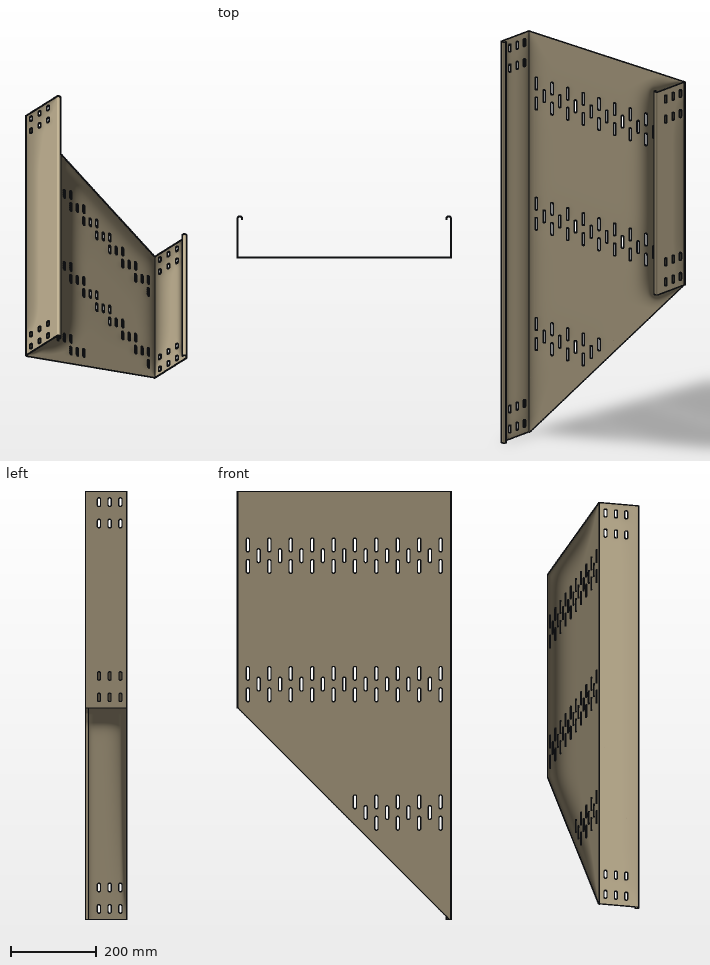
import cadquery as cq

width = 500.0
depth = 98.0
height = 1000.0
sheet = 2.0
flange_end = 494.0
slope_rise = flange_end + sheet
bend_radius = 5.0
lip_width = 12.0
lip_return = 8.0

slot_width = 7.0
web_slot_length = 32.0
slot_pitch = 25.0
web_columns = round(width / slot_pitch) - 1
group_spacing = 300.0
group_count = 3
top_group_drop = group_spacing / 2
group_heights = [height - top_group_drop - group_spacing * i for i in range(group_count)]
slope_margin = 40.0

flange_slot_length = 20.0
first_flange_slot_y = 16.0
flange_slots_per_row = 3
end_offsets = (25.0, 75.0)


def folded_sheet():
    """Full-height channel with inward lips, extruded along Z from its cross-section."""
    outline = [
        (lip_width, depth - lip_return),
        (lip_width, depth),
        (0, depth),
        (0, 0),
        (width, 0),
        (width, depth),
        (width - lip_width, depth),
        (width - lip_width, depth - lip_return),
        (width - lip_width + sheet, depth - lip_return),
        (width - lip_width + sheet, depth - sheet),
        (width - sheet, depth - sheet),
        (width - sheet, sheet),
        (sheet, sheet),
        (sheet, depth - sheet),
        (lip_width - sheet, depth - sheet),
        (lip_width - sheet, depth - lip_return),
    ]
    channel = cq.Workplane("XY").polyline(outline).close().extrude(height)
    outer_folds = [(x, depth) for x in (0, lip_width, width - lip_width, width)]
    inner_xs = (sheet, lip_width - sheet, width - lip_width + sheet, width - sheet)
    inner_folds = [(x, depth - sheet) for x in inner_xs]
    channel = round_folds(channel, outer_folds, bend_radius)
    return round_folds(channel, inner_folds, bend_radius - sheet)


def round_folds(body, folds, radius):
    """Fillet the vertical edges standing at the given XY points."""
    edges = cq.Workplane("XY")
    for x, y in folds:
        edges = edges.add(body.edges(cq.NearestToPointSelector((x, y, height / 2))).vals())
    return body.newObject(edges.vals()).fillet(radius)


def sloped_cutter():
    """Triangle below the slope that runs at 45 degrees across the web."""
    triangle = [(sheet, 0), (slope_rise, 0), (sheet, flange_end)]
    return cq.Workplane("XZ").polyline(triangle).close().extrude(-sheet)


def flange_cutter():
    """Blocks that end the left flange and its lip level with the top of the slope."""
    flange = cq.Workplane("XY").box(sheet, depth, flange_end, centered=False)
    lip = cq.Workplane("XY").box(lip_width, depth - sheet, flange_end, centered=False)
    return flange.union(lip.translate((0, sheet, 0)))


def web_slot_points():
    """XZ slot centres: outer rows on odd columns, the middle row on even ones."""
    points = []
    for group_z in group_heights:
        for column in range(1, web_columns + 1):
            x = column * slot_pitch
            rows = (group_z - slot_pitch, group_z + slot_pitch) if column % 2 else (group_z,)
            points += [(x, z) for z in rows if clears_slope(x, z)]
    return points


def clears_slope(x, z):
    """True where a web slot lies safely above the sloped edge."""
    edge_z = slope_rise - x
    return z - edge_z >= slope_margin


def web_slots():
    """Cutter for all slots through the web."""
    centres = web_slot_points()
    return cq.Workplane("XZ").pushPoints(centres).slot2D(web_slot_length, slot_width, 90).extrude(-sheet)


def flange_slots(flange_x, row_heights):
    """Cutter for the slot rows of the flange whose lower X face is at flange_x."""
    centres = [
        (first_flange_slot_y + slot_pitch * i, z)
        for z in row_heights
        for i in range(flange_slots_per_row)
    ]
    plane = cq.Workplane("YZ", origin=(flange_x, 0, 0))
    return plane.pushPoints(centres).slot2D(flange_slot_length, slot_width, 90).extrude(sheet)


top_rows = [height - offset for offset in end_offsets]
left_rows = top_rows + [flange_end + offset for offset in end_offsets]
right_rows = top_rows + list(end_offsets)

result = (
    folded_sheet()
    .cut(sloped_cutter())
    .cut(flange_cutter())
    .cut(web_slots())
    .cut(flange_slots(0, left_rows))
    .cut(flange_slots(width - sheet, right_rows))
)